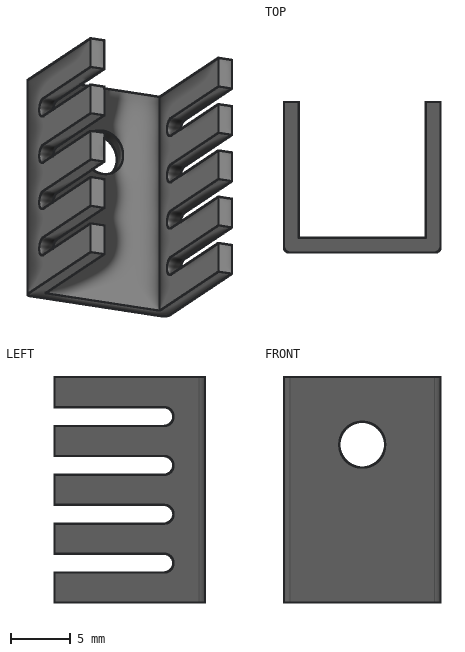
import cadquery as cq

width = 13.2
depth = 12.7
height = 19.0
wall = 1.27
corner_radius = 0.51

hole_diameter = 3.84
hole_drop = 5.7

slot_count = 4
finger_count = slot_count + 1
slot_width = 1.55
slot_length = 10.01
finger_height = (height - slot_count * slot_width) / finger_count
slot_pitch = finger_height + slot_width


def channel():
    """Upright U channel, open towards +Y, with rounded outer corners."""
    block = cq.Workplane("XY").box(width, depth, height, centered=(True, False, False))
    block = block.edges("|Z and <Y").fillet(corner_radius)
    cavity = (
        cq.Workplane("XY")
        .box(width - 2 * wall, depth - wall, height, centered=(True, False, False))
        .translate((0, wall, 0))
    )
    return block.cut(cavity)


def mounting_hole():
    """Cylinder through the back plate."""
    return (
        cq.Workplane("XZ")
        .center(0, height - hole_drop)
        .circle(hole_diameter / 2)
        .extrude(-wall)
    )


def finger_slot(bottom):
    """Round-ended slot through both side walls, open at their free edges."""
    radius = slot_width / 2
    closed_end = depth - slot_length
    arc_start = closed_end + radius
    return (
        cq.Workplane("YZ")
        .moveTo(depth, bottom)
        .lineTo(arc_start, bottom)
        .threePointArc((closed_end, bottom + radius), (arc_start, bottom + slot_width))
        .lineTo(depth, bottom + slot_width)
        .close()
        .extrude(width / 2, both=True)
    )


result = channel().cut(mounting_hole())
for index in range(slot_count):
    result = result.cut(finger_slot(finger_height + index * slot_pitch))